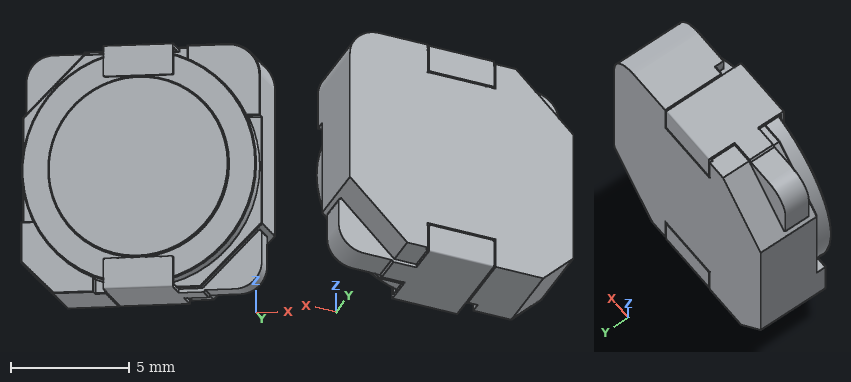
import cadquery as cq
import math


width = 10.3
height = 10.5
depth = 4.0

ring_front_y = 0.99
pad_front_y = 0.52
pad_inner_x = 2.02
pad_inner_z = 2.12
corner_cut = 1.39
edge_bevel = 0.04

flange_radius = 5.05
centre_radius = 3.9
rim_bevel = 0.05

strip_thickness = 0.16
clip_width = 2.99
leg_end_z = 3.92
bend_radius = 0.08
leg_corner_radius = 0.06
clip_gap = 0.07

wing_front_y = 1.38
wing_back_y = 2.62
wing_inset = 0.08
wing_corner_radius = 1.15
wing_step_x = -2.55
wing_tip_z = 2.73

seat_start_x = -2.51

half_width = width / 2
half_height = height / 2
half_clip = clip_width / 2
clip_seat_z = half_height - strip_thickness
seat_offset = clip_seat_z - seat_start_x


def prism(outline, front_y, back_y):
    """Extrude a closed XZ outline from front_y to back_y."""
    return outline.extrude(front_y - back_y).translate((0, front_y, 0))


def box(x_range, y_range, z_range):
    """Box spanning the given ranges."""
    size = [high - low for low, high in (x_range, y_range, z_range)]
    corner = (x_range[0], y_range[0], z_range[0])
    return cq.Workplane("XY").box(*size, centered=False).translate(corner)


def half_turn(shape):
    """Turn a shape by 180 degrees about the Y axis."""
    return shape.rotate((0, 0, 0), (0, 1, 0), 180)


def disc(radius, front_y, back_y):
    """Round disc with a bevelled front rim."""
    blank = prism(cq.Workplane("XZ").circle(radius), front_y, back_y)
    return blank.faces("<Y").chamfer(rim_bevel)


def ring_block():
    """Core block: wing seats on two corners, sunken clip seats and a bevelled front edge."""
    half_outline = [
        (-half_width, -half_height + corner_cut),
        (-half_width, seat_offset - half_width),
        (seat_start_x, clip_seat_z),
        (half_clip + clip_gap, clip_seat_z),
        (half_clip + clip_gap, half_height),
    ]
    round_middle = corner_cut * (1 - math.sqrt(0.5))
    outline = (
        cq.Workplane("XZ")
        .polyline(half_outline)
        .lineTo(half_width - corner_cut, half_height)
        .threePointArc(
            (half_width - round_middle, half_height - round_middle),
            (half_width, half_height - corner_cut),
        )
    )
    for x, z in half_outline[1:]:
        outline = outline.lineTo(-x, -z)
    outline = outline.lineTo(corner_cut - half_width, -half_height).close()
    return prism(outline, ring_front_y, depth).faces("<Y").chamfer(edge_bevel)


def corner_pad():
    """Raised pad with square corners in the +X +Z corner of the core."""
    return box((pad_inner_x, half_width), (pad_front_y, depth), (pad_inner_z, half_height))


def back_leg_pocket():
    """Pocket in the back of the core for the back leg of the +Z clip."""
    half_pocket = half_clip + clip_gap
    return box(
        (-half_pocket, half_pocket),
        (depth - strip_thickness, depth),
        (leg_end_z - clip_gap, half_height),
    )


def make_core():
    """Core block with corner pads, round flange and raised centre."""
    rounded_pad = corner_pad().edges("|Y and >X and >Z").fillet(corner_cut)
    bevelled_pad = half_turn(corner_pad().edges("|Y and >X and >Z").chamfer(corner_cut))
    core = ring_block()
    for pad in (rounded_pad, bevelled_pad):
        core = core.union(pad.faces("<Y").chamfer(edge_bevel))
    core = core.union(disc(flange_radius, strip_thickness, depth / 2))
    core = core.union(disc(centre_radius, 0, depth / 2))
    return core.cut(back_leg_pocket()).cut(half_turn(back_leg_pocket()))


def clip():
    """C-shaped strip over the +Z side with a leg on the front and a leg on the back."""
    x_range = (-half_clip, half_clip)
    blank = box(x_range, (0, depth), (leg_end_z, half_height)).edges("|X and >Z").fillet(bend_radius)
    inside = box(x_range, (strip_thickness, depth - strip_thickness), (leg_end_z, clip_seat_z))
    return blank.cut(inside).edges("|Y and <Z").fillet(leg_corner_radius)


def wing():
    """Strip and solid wing that reach from the clip round the -X +Z corner."""
    top_z = half_height - wing_inset
    side_x = wing_inset - half_width
    tip_run = (wing_tip_z - side_x - seat_offset) / 2
    seat_x = side_x + tip_run
    round_middle = wing_corner_radius * (1 - math.sqrt(0.5))
    outline = (
        cq.Workplane("XZ")
        .moveTo(-half_clip, half_height)
        .lineTo(wing_step_x, half_height)
        .lineTo(wing_step_x - wing_inset, top_z)
        .lineTo(side_x + wing_corner_radius, top_z)
        .threePointArc(
            (side_x + round_middle, top_z - round_middle),
            (side_x, top_z - wing_corner_radius),
        )
        .lineTo(side_x, wing_tip_z)
        .lineTo(seat_x, seat_x + seat_offset)
        .lineTo(seat_start_x, clip_seat_z)
        .lineTo(-half_clip, clip_seat_z)
        .close()
    )
    return prism(outline, wing_front_y, wing_back_y)


def make_terminal():
    """Terminal on the +Z side."""
    return clip().union(wing())


core = make_core()

terminals = []
for turn in (0, 180):
    terminal = make_terminal().rotate((0, 0, 0), (0, 1, 0), turn)
    terminals.append(terminal.val())

result = cq.Compound.makeCompound([core.val(), *terminals])